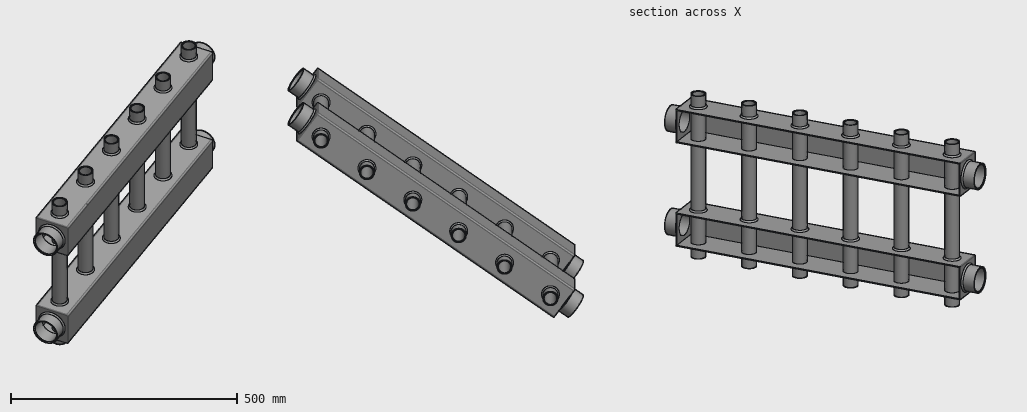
import cadquery as cq
import math

overall_length = 763.0
overall_height = 390.0
header_size = 81.0
stub_length = 30.5
header_length = overall_length - 2 * stub_length
header_long_radius = 4.0
header_end_radius = 1.5
header_wall = 4.0
header_spacing = overall_height - 2 * stub_length - header_size
header_heights = (-header_spacing / 2, header_spacing / 2)

stub_diameter = 60.0
stub_bore = 53.0
stub_mouth = 57.0
pipe_diameter = 33.5
pipe_bore = 27.5
pipe_mouth = 30.0
mouth_angle = 30.0
pipe_count = 6
pipe_pitch = 125.0
pipe_positions = [(i - (pipe_count - 1) / 2) * pipe_pitch for i in range(pipe_count)]

weld_width = 3.0
weld_height = 4.0


def header(height):
    """Closed square tube with rounded edges, softer along its length than at its ends."""
    outer = cq.Workplane("XY").box(header_size, header_length, header_size)
    outer = outer.edges("|Y").fillet(header_long_radius)
    outer = outer.faces("<Y or >Y").edges().fillet(header_end_radius)
    inner_size = header_size - 2 * header_wall
    inner = cq.Workplane("XY").box(inner_size, header_length - 2 * header_wall, inner_size)
    return outer.cut(inner).translate((0, 0, height))


def rod(diameter, start, direction, length):
    return cq.Workplane(obj=cq.Solid.makeCylinder(diameter / 2, length, start, direction))


def mouth_bevel(bore, mouth, tip, outward):
    """Shallow conical cutter that widens a bore to the mouth diameter at its tip."""
    depth = (mouth - bore) / 2 * math.tan(math.radians(mouth_angle))
    return cq.Workplane(obj=cq.Solid.makeCone(mouth / 2, bore / 2, depth, tip, outward * -1))


def weld(diameter, seat, outward):
    """Conical bead that is widest at the header face."""
    bead = cq.Solid.makeCone(diameter / 2 + weld_width, diameter / 2, weld_height, seat, outward)
    return cq.Workplane(obj=bead)


result = header(header_heights[0]).union(header(header_heights[1]))

for height in header_heights:
    for side in (-1, 1):
        outward = cq.Vector(0, side, 0)
        seat = cq.Vector(0, side * header_length / 2, height)
        inside = seat - outward * header_wall
        tip = seat + outward * stub_length
        reach = header_wall + stub_length
        result = result.union(rod(stub_diameter, inside, outward, reach))
        result = result.union(weld(stub_diameter, seat, outward))
        result = result.cut(rod(stub_bore, inside, outward, reach))
        result = result.cut(mouth_bevel(stub_bore, stub_mouth, tip, outward))

up = cq.Vector(0, 0, 1)
for y in pipe_positions:
    bottom = cq.Vector(0, y, -overall_height / 2)
    result = result.union(rod(pipe_diameter, bottom, up, overall_height))
    for height in header_heights:
        for side in (-1, 1):
            seat = cq.Vector(0, y, height + side * header_size / 2)
            result = result.union(weld(pipe_diameter, seat, up * side))
    result = result.cut(rod(pipe_bore, bottom, up, overall_height))
    for side in (-1, 1):
        tip = cq.Vector(0, y, side * overall_height / 2)
        result = result.cut(mouth_bevel(pipe_bore, pipe_mouth, tip, up * side))